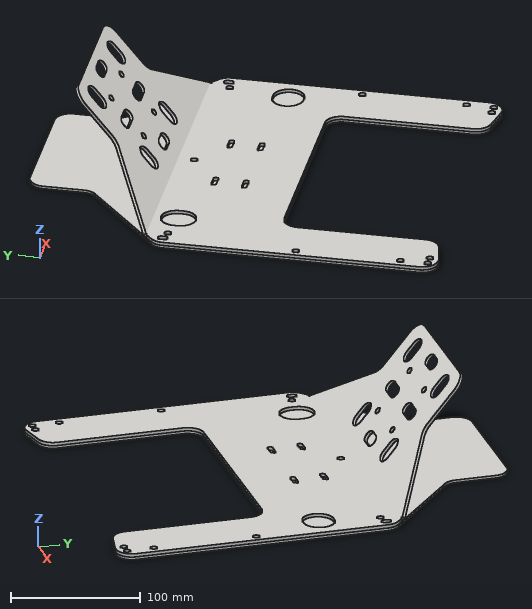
import cadquery as cq
import math

HALF_WIDTH = 137.0
TOTAL_LENGTH = 337.3
CORNER_RADIUS = 12.8
SHOULDER_OUTER_Y = 221.3
SHOULDER_INNER_Y = 286.5
TAIL_HALF_WIDTH = 60.5
CUTOUT_HALF_WIDTH = 92.0
CUTOUT_END_Y = 130.5
LEG_TIP_SLOPE = 0.2

LEG_TIP_OUTER_Y = CORNER_RADIUS * (1 - LEG_TIP_SLOPE - math.hypot(1, LEG_TIP_SLOPE))
LEG_TIP_INNER_Y = LEG_TIP_OUTER_Y + LEG_TIP_SLOPE * (HALF_WIDTH - CUTOUT_HALF_WIDTH)

BASE_THICKNESS = 2.5
SHEET_THICKNESS = 2.7
SHEET_TOP_Z = BASE_THICKNESS + SHEET_THICKNESS

BEND_Y = 229.5
BEND_ANGLE = 50.0
BEND_INNER_RADIUS = 1.0
BEND_OUTER_RADIUS = BEND_INNER_RADIUS + SHEET_THICKNESS
TOTAL_HEIGHT = 87.5
BEND_SIN = math.sin(math.radians(BEND_ANGLE))
BEND_COS = math.cos(math.radians(BEND_ANGLE))
BEND_AXIS_Z = SHEET_TOP_Z + BEND_INNER_RADIUS
PANEL_FOOT_Y = BEND_Y + BEND_INNER_RADIUS * BEND_SIN
PANEL_FOOT_Z = BEND_AXIS_Z - BEND_INNER_RADIUS * BEND_COS
PANEL_LENGTH = (TOTAL_HEIGHT - PANEL_FOOT_Z) / BEND_SIN
PANEL_FOOT_HALF_WIDTH = 125.8
PANEL_NECK_HEIGHT = 56.0
FOOT_CLEARANCE = 6.7

PANEL_PATTERN_HEIGHT = 55.5
TALL_SLOT = (21.3, 12.8)
TALL_SLOT_OFFSET = (37.0, 31.7)
END_SLOT = (19.0, 9.8)
END_SLOT_OFFSET = 38.0
MIDDLE_SLOT = (22.3, 9.8)
MIDDLE_SLOT_OFFSET = 23.0
PANEL_HOLE_DIAMETER = 5.0
PANEL_HOLE_OFFSET = 20.0

HOLE_DIAMETER = 5.5
CENTRE_HOLE_Y = 217.5
OUTER_HOLE_X = 129.5
INNER_HOLE_X = 121.0
LEG_END_HOLE_Y = 7.5
LEG_HOLE_Y = 29.0
SIDE_HOLE_X = 130.2
SIDE_HOLE_Y = 111.3
REAR_HOLE_Y = 214.0
REAR_SLOT = (7.8, 5.5)
REAR_SLOT_Y = 216.2
SMALL_SLOT = (12.0, 4.0)
SMALL_SLOT_X = 31.0
SMALL_SLOT_ROWS = (171.0, 195.0)
WINDOW = (27.5, 24.5)
LEFT_WINDOW_CENTRE = (-95.8, 210.5)
RIGHT_WINDOW_CENTRE = (113.7, 166.3)

SIDES = (-1, 1)
LENGTHWISE = 90


def mirrored(right_side):
    """Complete an outline from its right-hand points, listed from the rear or top onwards."""
    return right_side + [(-x, y) for x, y in reversed(right_side)]


def shared_outline(thickness):
    """Plate with two legs, sloped shoulders and a tail."""
    outline = mirrored([
        (TAIL_HALF_WIDTH, TOTAL_LENGTH),
        (TAIL_HALF_WIDTH, SHOULDER_INNER_Y),
        (HALF_WIDTH, SHOULDER_OUTER_Y),
        (HALF_WIDTH, LEG_TIP_OUTER_Y),
        (CUTOUT_HALF_WIDTH, LEG_TIP_INNER_Y),
        (CUTOUT_HALF_WIDTH, CUTOUT_END_Y),
    ])
    plate = cq.Workplane("XY").polyline(outline).close().extrude(thickness)
    return plate.edges("|Z").fillet(CORNER_RADIUS)


def cover_blank():
    """Flat part of the sheet: the shared outline, ending at the bend."""
    cover = shared_outline(SHEET_THICKNESS).translate((0, 0, BASE_THICKNESS))
    ahead_of_bend = cq.Workplane("XY").box(
        2 * HALF_WIDTH, BEND_Y, SHEET_TOP_Z, centered=(True, False, False)
    )
    return cover.intersect(ahead_of_bend)


def bend_point(radius):
    """End of the bend at the given radius, as (y, z)."""
    return BEND_Y + radius * BEND_SIN, BEND_AXIS_Z - radius * BEND_COS


def bend_blank():
    return (
        cq.Workplane("YZ", origin=(-PANEL_FOOT_HALF_WIDTH, 0, 0))
        .moveTo(BEND_Y, BASE_THICKNESS)
        .radiusArc(bend_point(BEND_OUTER_RADIUS), -BEND_OUTER_RADIUS)
        .lineTo(*bend_point(BEND_INNER_RADIUS))
        .radiusArc((BEND_Y, SHEET_TOP_Z), BEND_INNER_RADIUS)
        .close()
        .extrude(2 * PANEL_FOOT_HALF_WIDTH)
    )


def panel_plane(height):
    """Plane on the panel's front face, centred at a height measured along the panel from the bend."""
    return cq.Plane(
        origin=(0, PANEL_FOOT_Y + height * BEND_COS, PANEL_FOOT_Z + height * BEND_SIN),
        xDir=(1, 0, 0),
        normal=(0, -BEND_SIN, BEND_COS),
    )


def panel_blank():
    outline = mirrored([
        (TAIL_HALF_WIDTH, PANEL_LENGTH),
        (TAIL_HALF_WIDTH, PANEL_NECK_HEIGHT),
        (PANEL_FOOT_HALF_WIDTH, 0),
    ])
    panel = cq.Workplane(panel_plane(0)).polyline(outline).close().extrude(-SHEET_THICKNESS)
    across_sheet = cq.selectors.ParallelDirSelector(panel_plane(0).zDir)
    above_foot = cq.selectors.BoxSelector(
        (-HALF_WIDTH, PANEL_FOOT_Y + FOOT_CLEARANCE, PANEL_FOOT_Z + FOOT_CLEARANCE),
        (HALF_WIDTH, TOTAL_LENGTH, TOTAL_HEIGHT),
    )
    return panel.edges(across_sheet).edges(above_foot).fillet(CORNER_RADIUS)


def cut_slots(sheet, slot, centres, angle=0):
    return sheet.pushPoints(centres).slot2D(*slot, angle).cutBlind(-SHEET_THICKNESS)


def cut_holes(sheet, diameter, centres):
    return sheet.pushPoints(centres).circle(diameter / 2).cutBlind(-SHEET_THICKNESS)


def four_corners(x, y):
    return [(i * x, j * y) for i in SIDES for j in SIDES]


def cut_cover_openings(sheet):
    holes = [(0, CENTRE_HOLE_Y)]
    for side in SIDES:
        holes += [
            (side * OUTER_HOLE_X, LEG_END_HOLE_Y),
            (side * INNER_HOLE_X, LEG_END_HOLE_Y),
            (side * OUTER_HOLE_X, LEG_HOLE_Y),
            (side * SIDE_HOLE_X, SIDE_HOLE_Y),
            (side * INNER_HOLE_X, REAR_HOLE_Y),
        ]
    small_slots = [(side * SMALL_SLOT_X, y) for side in SIDES for y in SMALL_SLOT_ROWS]
    rear_slots = [(side * OUTER_HOLE_X, REAR_SLOT_Y) for side in SIDES]
    sheet = cq.Workplane("XY", origin=(0, 0, SHEET_TOP_Z)).add(sheet.val())
    sheet = cut_holes(sheet, HOLE_DIAMETER, holes)
    sheet = cut_slots(sheet, SMALL_SLOT, small_slots)
    sheet = cut_slots(sheet, REAR_SLOT, rear_slots, LENGTHWISE)
    sheet = cut_slots(sheet, WINDOW, [LEFT_WINDOW_CENTRE], LENGTHWISE)
    return cut_slots(sheet, WINDOW, [RIGHT_WINDOW_CENTRE])


def cut_panel_openings(sheet):
    sheet = cq.Workplane(panel_plane(PANEL_PATTERN_HEIGHT)).add(sheet.val())
    sheet = cut_holes(sheet, PANEL_HOLE_DIAMETER, four_corners(PANEL_HOLE_OFFSET, PANEL_HOLE_OFFSET))
    sheet = cut_slots(sheet, TALL_SLOT, four_corners(*TALL_SLOT_OFFSET), LENGTHWISE)
    sheet = cut_slots(sheet, END_SLOT, [(0, side * END_SLOT_OFFSET) for side in SIDES])
    return cut_slots(sheet, MIDDLE_SLOT, [(side * MIDDLE_SLOT_OFFSET, 0) for side in SIDES])


def make_base():
    return shared_outline(BASE_THICKNESS)


def make_bent_sheet():
    """Cover and tilted panel, bent from one sheet lying on the base."""
    sheet = cover_blank().union(bend_blank()).union(panel_blank())
    return cut_panel_openings(cut_cover_openings(sheet))


base = make_base()
bent_sheet = make_bent_sheet()

result = cq.Compound.makeCompound([base.val(), bent_sheet.val()])